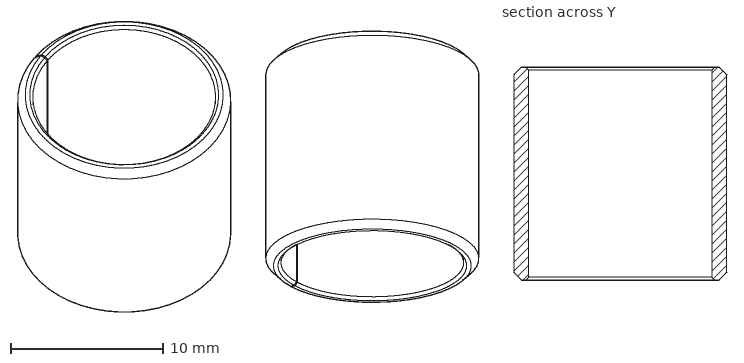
import cadquery as cq

outer_diameter = 14.0
bore_diameter = 12.0
length = 14.0
outer_chamfer = 0.5
bore_chamfer = 0.2
slit_angle = 1.0

outer_radius = outer_diameter / 2
bore_radius = bore_diameter / 2
half_length = length / 2


def make_wall_profile():
    """Wall section on the -X side, chamfered at all four end corners."""
    outer_chamfer_z = half_length - outer_chamfer
    bore_chamfer_z = half_length - bore_chamfer
    corners = [
        (-bore_radius, -bore_chamfer_z),
        (-bore_radius - bore_chamfer, -half_length),
        (-outer_radius + outer_chamfer, -half_length),
        (-outer_radius, -outer_chamfer_z),
        (-outer_radius, outer_chamfer_z),
        (-outer_radius + outer_chamfer, half_length),
        (-bore_radius - bore_chamfer, half_length),
        (-bore_radius, bore_chamfer_z),
    ]
    return cq.Workplane("XZ").polyline(corners).close()


def make_bush():
    """Sweep the wall about +Z, counterclockwise from above, stopping short by the slit angle."""
    axis_start = (0, 0)
    axis_end = (0, 1)
    return make_wall_profile().revolve(360 - slit_angle, axis_start, axis_end)


result = make_bush()